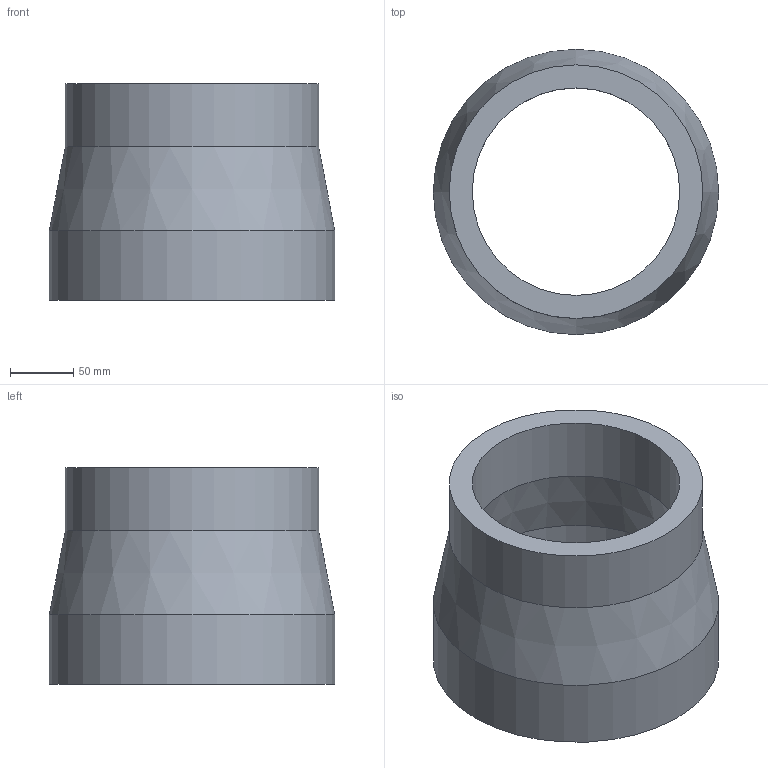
import cadquery as cq

total_height = 171.0

large_diameter = 225.0
large_wall = 20.5
large_outer_length = 55.0
large_bore_length = 65.0

small_diameter = 200.0
small_wall = 18.2
small_outer_length = 50.0
small_bore_length = 51.0

large_radius = large_diameter / 2
small_radius = small_diameter / 2


def reducer_body(bottom_radius, top_radius, bottom_length, top_length):
    """Full-height solid of revolution: cylinder, cone, then smaller cylinder."""
    return (
        cq.Workplane("XZ")
        .lineTo(bottom_radius, 0)
        .lineTo(bottom_radius, bottom_length)
        .lineTo(top_radius, total_height - top_length)
        .lineTo(top_radius, total_height)
        .lineTo(0, total_height)
        .close()
        .revolve(360, (0, 0, 0), (0, 1, 0))
    )


outside = reducer_body(large_radius, small_radius, large_outer_length, small_outer_length)

bore = reducer_body(
    large_radius - large_wall,
    small_radius - small_wall,
    large_bore_length,
    small_bore_length,
)

result = outside.cut(bore)